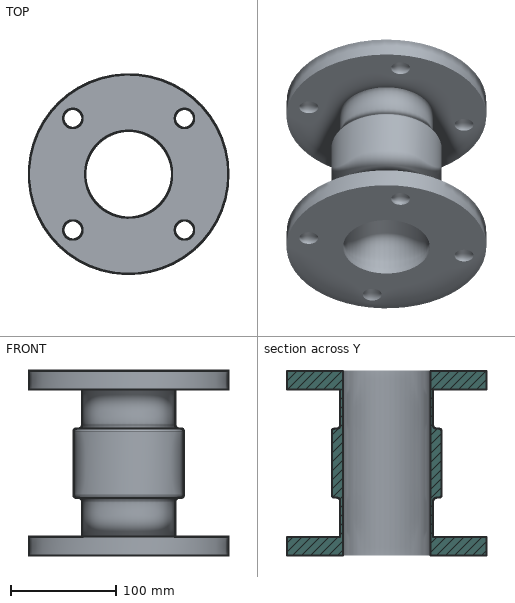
import cadquery as cq

flange_diameter = 190.0
total_height = 176.0

flange_thickness = 18.0
bolt_hole_diameter = 18.0
bolt_circle_diameter = 150.1
bolt_count = 4
first_bolt_angle = 45.0

pipe_diameter = 89.0
bore_diameter = 82.5

sleeve_diameter = 105.0
sleeve_length = 66.1
rim_radius = 3.0
root_radius = 3.0


def cylinder(diameter, length, bottom):
    """Solid cylinder on the Z axis, starting at height `bottom`."""
    return cq.Workplane("XY").workplane(offset=bottom).circle(diameter / 2).extrude(length)


def sleeve():
    """Revolved sleeve with rounded rims and a fillet at each root on the pipe."""
    pipe_radius = pipe_diameter / 2
    sleeve_radius = sleeve_diameter / 2
    half_length = sleeve_length / 2
    root_end = half_length + root_radius
    root_edge = pipe_radius + root_radius
    rim_edge = sleeve_radius - rim_radius
    wall_end = half_length - rim_radius
    profile = (
        cq.Workplane("XZ", origin=(0, 0, total_height / 2))
        .moveTo(0, -root_end)
        .lineTo(pipe_radius, -root_end)
        .radiusArc((root_edge, -half_length), root_radius)
        .lineTo(rim_edge, -half_length)
        .radiusArc((sleeve_radius, -wall_end), -rim_radius)
        .lineTo(sleeve_radius, wall_end)
        .radiusArc((rim_edge, half_length), -rim_radius)
        .lineTo(root_edge, half_length)
        .radiusArc((pipe_radius, root_end), root_radius)
        .lineTo(0, root_end)
        .close()
    )
    return profile.revolve(360, (0, 0, 0), (0, 1, 0))


def bolt_holes():
    """Cutters for the bolt holes, running through both flanges."""
    return (
        cq.Workplane("XY")
        .polarArray(bolt_circle_diameter / 2, first_bolt_angle, 360, bolt_count)
        .circle(bolt_hole_diameter / 2)
        .extrude(total_height)
    )


bottom_flange = cylinder(flange_diameter, flange_thickness, 0)
top_flange = cylinder(flange_diameter, flange_thickness, total_height - flange_thickness)
pipe = cylinder(pipe_diameter, total_height, 0)
bore = cylinder(bore_diameter, total_height, 0)

body = pipe.union(bottom_flange).union(top_flange).union(sleeve())
result = body.cut(bore).cut(bolt_holes())